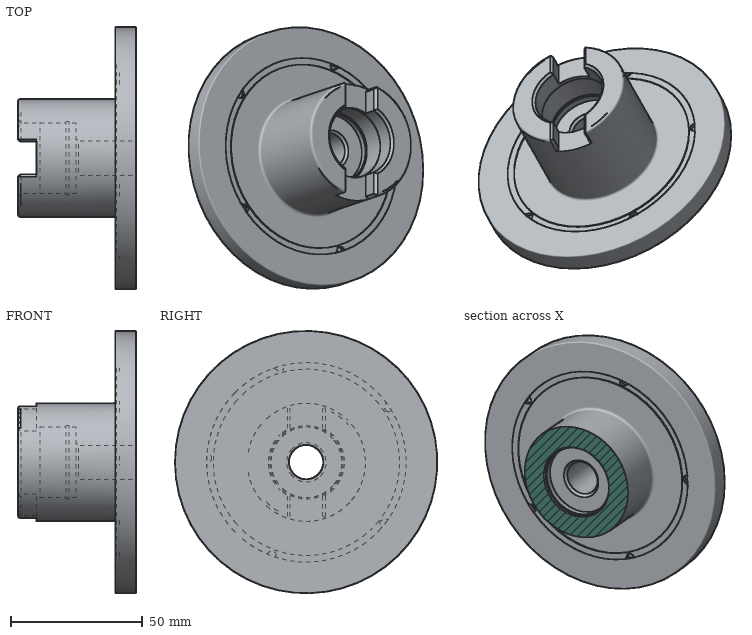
import cadquery as cq
import math

flange_diameter = 100.0
flange_thickness = 8.0
flange_edge_radius = 0.5

hub_diameter = 45.0
hub_length = 37.0
hub_end_radius = 1.0

bore_diameter = 27.0
bore_entry_depth = 8.4
seat_diameter = 26.9
bore_depth = 22.0
ring_groove_start = 18.2
ring_groove_width = 1.2
ring_groove_diameter = 28.0
hole_diameter = 13.0
opening_chamfer = 1.0

slot_width = 12.4
slot_depth = 7.0
slot_chamfer = 1.0

recess_depth = 0.5
groove_inner_diameter = 71.0
groove_outer_diameter = 76.0
groove_depth = 0.1
pocket_count = 5
pocket_nose_width = 3.0
pocket_tail_length = 2.0
pocket_reach = 1.9
pocket_depth = 1.5
pocket_start_angle = 2.5

tip_x = 0.0
flange_front_x = tip_x + hub_length
recess_floor_x = flange_front_x + recess_depth
flange_back_x = flange_front_x + flange_thickness
bore_floor_x = tip_x + bore_depth
seat_x = tip_x + bore_entry_depth
ring_groove_x = tip_x + ring_groove_start


def plane_facing_tip(x):
    """Plane normal to X whose normal points toward -X; its local x is -Y and local y is Z."""
    return cq.Plane(origin=(x, 0, 0), xDir=(0, -1, 0), normal=(-1, 0, 0))


def disc(diameter, start_x, end_x):
    """Solid cylinder on the X axis between two X positions."""
    return cq.Workplane(plane_facing_tip(end_x)).circle(diameter / 2).extrude(end_x - start_x)


def flanged_hub():
    flange = disc(flange_diameter, flange_front_x, flange_back_x)
    flange = flange.cut(disc(groove_inner_diameter, flange_front_x, recess_floor_x))
    body = flange.union(disc(hub_diameter, tip_x, recess_floor_x))
    smallest = cq.selectors.RadiusNthSelector(0)
    largest = cq.selectors.RadiusNthSelector(-1)
    body = body.edges("%CIRCLE").edges(smallest).fillet(hub_end_radius)
    return body.edges("%CIRCLE").edges(largest).fillet(flange_edge_radius)


def opening(diameter, start_x, end_x):
    """Round cutter with a conical flare that chamfers its mouth at start_x."""
    mouth_radius = diameter / 2 + opening_chamfer
    flare = cq.Solid.makeCone(
        mouth_radius,
        diameter / 2,
        opening_chamfer,
        pnt=cq.Vector(start_x, 0, 0),
        dir=cq.Vector(1, 0, 0),
    )
    return disc(diameter, start_x, end_x).union(cq.Workplane(flare))


def cut_slot(body):
    slot = cq.Workplane("XY").box(slot_depth, slot_width, flange_diameter, centered=(False, True, True))
    return body.cut(slot.translate((tip_x, 0, 0)))


def slot_mouth_cutter():
    """Prism that chamfers the slot mouth at the hub tip."""
    half_width = slot_width / 2
    return (
        cq.Workplane("XY", origin=(tip_x, 0, 0))
        .polyline([
            (0, -half_width - slot_chamfer),
            (slot_chamfer, -half_width),
            (slot_chamfer, half_width),
            (0, half_width + slot_chamfer),
        ])
        .close()
        .extrude(hub_diameter, both=True)
    )


def slot_end_cutter(side):
    """Prism that chamfers the slot walls where they meet the hub's outer surface, above or below."""
    half_width = slot_width / 2
    flare_half_width = half_width + slot_chamfer
    outer_z = math.sqrt((hub_diameter / 2) ** 2 - flare_half_width ** 2)
    inner_z = outer_z - slot_chamfer
    return (
        cq.Workplane("YZ", origin=(tip_x, 0, 0))
        .polyline([
            (-half_width, side * inner_z),
            (half_width, side * inner_z),
            (flare_half_width, side * outer_z),
            (flare_half_width, side * hub_diameter),
            (-flare_half_width, side * hub_diameter),
            (-flare_half_width, side * outer_z),
        ])
        .close()
        .extrude(slot_depth)
    )


def ring_recess(depth):
    """Ring between the two groove diameters, sunk to a depth below the flange face."""
    end_x = flange_front_x + depth
    outer = disc(groove_outer_diameter, flange_front_x, end_x)
    return outer.cut(disc(groove_inner_diameter, flange_front_x, end_x))


def pocket_cutter():
    """Pocket at angle zero: a rounded nose reaching inward from the ring's outer wall, with a
    hollow tail running out along that wall; kept only inside the ring."""
    wall = groove_outer_diameter / 2
    middle = wall - pocket_reach / 2
    shoulder = (middle, -pocket_nose_width / 2)
    tail_end = (wall, -pocket_nose_width / 2 - pocket_tail_length)
    tail_middle = (wall - pocket_reach / 6, -pocket_nose_width / 2 - pocket_tail_length / 3)
    nose_start = (wall, pocket_nose_width / 2)
    nose_tip = (wall - pocket_reach, 0)
    outside = wall + pocket_reach
    return (
        cq.Workplane(plane_facing_tip(flange_front_x + pocket_depth))
        .moveTo(*nose_start)
        .threePointArc(nose_tip, shoulder)
        .threePointArc(tail_middle, tail_end)
        .lineTo(outside, tail_end[1])
        .lineTo(outside, nose_start[1])
        .close()
        .extrude(pocket_depth)
        .intersect(ring_recess(pocket_depth))
    )


result = flanged_hub()
result = cut_slot(result)
result = result.cut(slot_mouth_cutter())
for side in (1, -1):
    result = result.cut(slot_end_cutter(side))
result = result.cut(opening(bore_diameter, tip_x, seat_x))
result = result.cut(disc(seat_diameter, seat_x, bore_floor_x))
result = result.cut(disc(ring_groove_diameter, ring_groove_x, ring_groove_x + ring_groove_width))
result = result.cut(opening(hole_diameter, bore_floor_x, flange_back_x))
result = result.cut(ring_recess(groove_depth))
for index in range(pocket_count):
    angle = pocket_start_angle + index * 360 / pocket_count
    result = result.cut(pocket_cutter().rotate((0, 0, 0), (-1, 0, 0), angle))